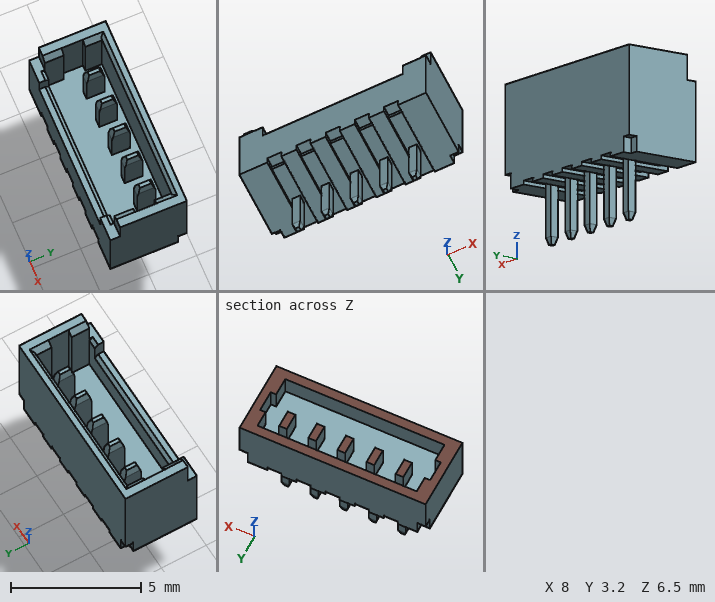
import cadquery as cq


length = 8.0
depth = 3.2
height = 4.2
floor_thickness = 1.3
long_wall = 0.41
end_wall = 0.36
rib_thickness = 0.23
mouth_chamfer = 0.15

key_slot_front = 1.2
key_slot_width = 0.9

shoulder_drop = 1.0
window_drop = 1.71
shoulder_length = 1.0

relief_width = 0.6
relief_front_height = 0.35
relief_height = 0.15
corner_notch = 0.36
corner_notch_height = 0.62

pin_count = 5
pin_span = 5.0
pin_y = 2.07
pin_width = 0.34
tail_length = 2.3
tail_taper = 0.3
tip_width = 0.16
blade_depth = 0.76
blade_tip_depth = 0.46
blade_top_drop = 0.66
blade_side_taper = 0.29
blade_round = 0.58
blade_sag = 0.02

rib_wall = end_wall + rib_thickness
inner_length = length - 2 * rib_wall
key_length = length - 2 * end_wall
blade_root = floor_thickness / 2
blade_top = height - blade_top_drop
pin_pitch = pin_span / (pin_count - 1)
pin_xs = [pin_pitch * (i - (pin_count - 1) / 2) for i in range(pin_count)]


def block(x_size, y_start, y_end, z_start, z_end, x_center=0.0):
    """Box centred on x_center and spanning the given Y and Z ranges."""
    size = (x_size, y_end - y_start, z_end - z_start)
    return cq.Workplane().box(*size, centered=(True, False, False)).translate(
        (x_center, y_start, z_start)
    )


def prism_along_x(points, x_size):
    """Extrude a Y-Z outline along X, centred on X = 0."""
    return cq.Workplane("YZ").polyline(points).close().extrude(x_size / 2, both=True)


def front_bevel(top):
    """Cutter for the inner top edge of the front wall where it ends at height top."""
    return [
        (long_wall, top),
        (long_wall - mouth_chamfer, top),
        (long_wall, top - mouth_chamfer),
    ]


def cavity():
    """Pocket with key slots, and bevels where the ribs and the back wall meet the top."""
    pocket = block(inner_length, long_wall, depth - long_wall, floor_thickness, height)
    key_slots = block(
        key_length, key_slot_front, key_slot_front + key_slot_width, floor_thickness, height
    )
    flare = (
        cq.Workplane("XZ")
        .polyline([
            (-key_length / 2, height),
            (key_length / 2, height),
            (inner_length / 2, height - rib_thickness),
            (-inner_length / 2, height - rib_thickness),
        ])
        .close()
        .extrude(-depth)
    )
    back_limit = prism_along_x(
        [(0, 0), (depth - long_wall, 0), (depth - long_wall, height - mouth_chamfer),
         (depth - long_wall + mouth_chamfer, height), (0, height)],
        length,
    )
    return pocket.union(key_slots).union(flare.intersect(back_limit))


def housing():
    body = block(length, 0, depth, 0, height).cut(cavity())

    shoulder_top = height - shoulder_drop
    sill_top = height - window_drop
    window_length = length - 2 * shoulder_length
    body = body.cut(block(length, 0, long_wall, shoulder_top, height))
    body = body.cut(block(window_length, 0, long_wall, sill_top, height))
    body = body.cut(prism_along_x(front_bevel(shoulder_top), inner_length))
    body = body.cut(prism_along_x(front_bevel(sill_top), window_length))

    for x in pin_xs:
        body = body.cut(block(relief_width, 0, depth, 0, relief_height, x))
        body = body.cut(block(relief_width, 0, long_wall, 0, relief_front_height, x))

    for side in (-1, 1):
        x = side * (length - corner_notch) / 2
        body = body.cut(
            block(corner_notch, depth - corner_notch, depth, 0, corner_notch_height, x)
        )
    return body


def blade():
    """Contact blade: rounded front and back shoulders, flat tapers on both sides."""
    half = blade_depth / 2
    half_tip = blade_tip_depth / 2
    round_start = blade_top - blade_round
    bulge_y = (half + half_tip) / 2 + blade_sag
    bulge_z = blade_top - blade_round / 2
    side_outline = (
        cq.Workplane("YZ")
        .moveTo(-half, blade_root)
        .lineTo(half, blade_root)
        .lineTo(half, round_start)
        .threePointArc((bulge_y, bulge_z), (half_tip, blade_top))
        .lineTo(-half_tip, blade_top)
        .threePointArc((-bulge_y, bulge_z), (-half, round_start))
        .close()
        .extrude(pin_width / 2, both=True)
    )
    front_outline = (
        cq.Workplane("XZ")
        .polyline([
            (-pin_width / 2, blade_root),
            (pin_width / 2, blade_root),
            (pin_width / 2, blade_top - blade_side_taper),
            (tip_width / 2, blade_top),
            (-tip_width / 2, blade_top),
            (-pin_width / 2, blade_top - blade_side_taper),
        ])
        .close()
        .extrude(half, both=True)
    )
    return side_outline.intersect(front_outline)


def tail():
    """Square solder tail with a tapered tip."""
    straight_end = tail_taper - tail_length
    half = pin_width / 2
    shank = block(pin_width, -half, half, straight_end, floor_thickness)
    tip = (
        cq.Workplane("XY", origin=(0, 0, straight_end))
        .rect(pin_width, pin_width)
        .workplane(offset=-tail_taper)
        .rect(tip_width, tip_width)
        .loft(ruled=True)
    )
    return shank.union(tip)


pin = blade().union(tail())

result = housing()
for x in pin_xs:
    result = result.union(pin.translate((x, pin_y, 0)))